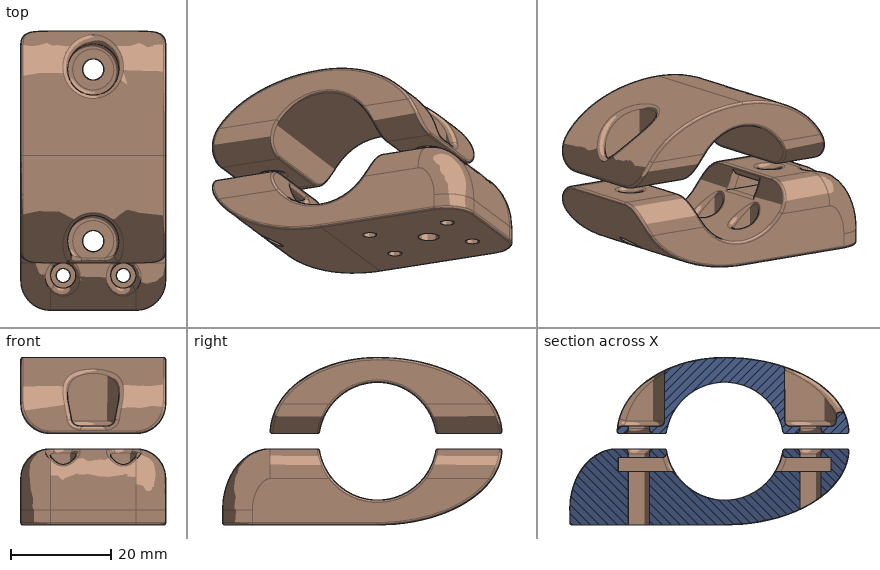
import cadquery as cq
import math

width = 29.0
length = 55.85
height = 33.5
gap = 3.0
bore_diameter = 23.5
back_reach = 24.85
upper_front_reach = 21.5

corner_radius = 6.0
edge_radius = 0.5

nose_length = 9.5
band_height = 3.0

bolt_offset = 17.15
bolt_diameter = 4.2
bolt_rim_radius = 1.0
head_diameter = 10.2
head_seat_thickness = 1.5
head_floor_radius = 1.0
head_rim_radius = 0.95

slot_width = 7.5
slot_reach = 21.2
slot_roof_thickness = 1.8
slot_height = 2.75
slot_rim_radius = 1.0

screw_spacing = 12.0
foot_screw_y = -24.0
bore_screw_y = -7.0
screw_diameter = 2.75
screw_head_diameter = 5.0
screw_seat_thickness = 3.0
screw_rim_radius = 0.9

half_width = width / 2
half_height = height / 2
parting = gap / 2
half_depth = half_height - parting
front_reach = length - back_reach
head_seat = parting + head_seat_thickness
slot_floor = -parting - slot_roof_thickness - slot_height
screw_seat = -half_height + screw_seat_thickness

sharp_angle = 10.0
tiny = 0.005


def side_plane():
    """YZ sketch plane on the -X side of the clamp."""
    return cq.Workplane("YZ", origin=(-half_width, 0, 0))


def add_quarter(outline, y_radius, z_radius, start, end):
    """Continue an outline along a quarter ellipse between two angles in degrees."""
    sense = 1 if end > start else -1
    return outline.ellipseArc(y_radius, z_radius, min(start, end), max(start, end), sense=sense)


def cylinder(x, y, bottom, top, diameter):
    """Upright cylinder between two heights."""
    return cq.Workplane("XY", origin=(x, y, bottom)).circle(diameter / 2).extrude(top - bottom)


def sharp_edges(body, wanted):
    """Edges where two faces meet at an angle and whose middle point is wanted."""
    shape = body.val()
    edges = []
    for edge in body.edges().vals():
        middle = edge.positionAt(0.5)
        if not wanted(middle):
            continue
        faces = edge.ancestors(shape, "Face").Faces()
        if len(faces) != 2:
            continue
        turn = faces[0].normalAt(middle).getAngle(faces[1].normalAt(middle))
        if math.degrees(turn) > sharp_angle:
            edges.append(edge)
    return body.newObject(edges)


def cut_bore(body):
    """Cut the bore, then round every edge that is still sharp."""
    body = body.cut(side_plane().circle(bore_diameter / 2).extrude(width))
    return sharp_edges(body, lambda point: True).fillet(edge_radius)


def round_mouth(body, x, y, diameter, floor, radius):
    """Round the edge where an upright recess breaks out of the surface above its floor."""

    def on_mouth(point):
        return point.z > floor + tiny and math.hypot(point.x - x, point.y - y) < diameter / 2 + tiny

    return sharp_edges(body, on_mouth).fillet(radius)


def cut_bolt_hole(body, y, parting_z):
    """Drill a clamp bolt hole and round its edge on the parting face."""

    def on_rim(point):
        return abs(point.z - parting_z) < tiny and math.hypot(point.x, point.y - y) < bolt_diameter

    body = body.cut(cylinder(0, y, 0, math.copysign(half_height, parting_z), bolt_diameter))
    return sharp_edges(body, on_rim).fillet(bolt_rim_radius)


def cut_head_recess(body, y):
    """Sink a bolt head recess with a rounded floor and mouth."""
    recess = cylinder(0, y, head_seat, half_height, head_diameter)
    body = body.cut(recess.faces("<Z").edges().fillet(head_floor_radius))
    return round_mouth(body, 0, y, head_diameter, head_seat, head_rim_radius)


def cut_nut_slot(body, side):
    """Cut a nut slot from the bore past the bolt on one side, and round its mouth."""

    def on_mouth(point):
        on_bore = abs(math.hypot(point.y, point.z) - bore_diameter / 2) < tiny
        return on_bore and side * point.y > 0 and abs(point.x) < slot_width / 2 + tiny

    slot = cq.Workplane("XY", origin=(0, side * slot_reach / 2, slot_floor + slot_height / 2))
    body = body.cut(slot.box(slot_width, slot_reach, slot_height))
    return sharp_edges(body, on_mouth).fillet(slot_rim_radius)


def cut_mounting_screw(body, x, y):
    """Cut a counterbored screw hole with a rounded mouth."""
    body = body.cut(cylinder(x, y, screw_seat, 0, screw_head_diameter))
    body = round_mouth(body, x, y, screw_head_diameter, screw_seat, screw_rim_radius)
    return body.cut(cylinder(x, y, -half_height, screw_seat, screw_diameter))


def round_lower_corners(body):
    """Round the side edges of the parting face and continue down around the nose and band."""

    def on_corner(point):
        on_side = abs(point.x) > half_width - tiny
        on_parting = point.z > -parting - tiny
        on_front = point.y < -tiny and point.z > -half_height + tiny
        return on_side and (on_parting or on_front)

    return sharp_edges(body, on_corner).fillet(corner_radius)


def make_upper_half():
    outline = side_plane().moveTo(back_reach, parting)
    outline = add_quarter(outline, back_reach, half_depth, 0, 90)
    outline = add_quarter(outline, upper_front_reach, half_depth, 90, 180)
    body = outline.close().extrude(width)
    body = body.edges("|Y").fillet(corner_radius)
    body = cut_bore(body)
    for y in (bolt_offset, -bolt_offset):
        body = cut_head_recess(body, y)
        body = cut_bolt_hole(body, y, parting)
    return body


def make_lower_half():
    outline = side_plane().moveTo(back_reach, -parting)
    outline = add_quarter(outline, back_reach, half_depth, 0, -90)
    outline = outline.lineTo(-front_reach, -half_height)
    outline = outline.lineTo(-front_reach, -half_height + band_height)
    outline = add_quarter(outline, nose_length, half_depth - band_height, 180, 90)
    body = outline.close().extrude(width)
    body = round_lower_corners(body)
    body = cut_bore(body)
    for side in (1, -1):
        body = cut_nut_slot(body, side)
        body = cut_bolt_hole(body, side * bolt_offset, -parting)
    for y in (foot_screw_y, bore_screw_y):
        for x in (-screw_spacing / 2, screw_spacing / 2):
            body = cut_mounting_screw(body, x, y)
    return body


upper_half = make_upper_half()
lower_half = make_lower_half()
result = cq.Compound.makeCompound([upper_half.val(), lower_half.val()])